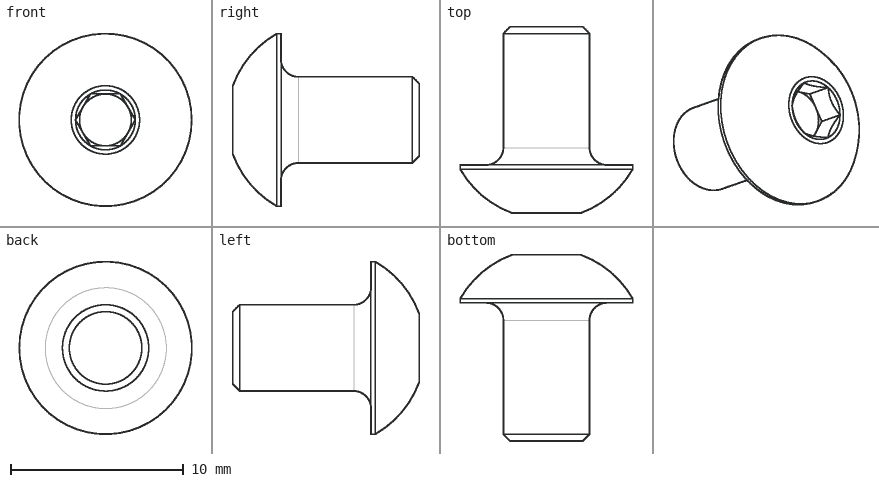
import cadquery as cq
import math

total_length = 10.8
head_height = 2.8
shank_length = total_length - head_height
head_diameter = 10.0
shank_diameter = head_diameter / 2
rim_height = 0.25
crown_flat_diameter = 3.96
neck_radius = 1.0
tip_chamfer = 0.4

socket_flats = 3.0
socket_depth = 1.76
lead_in_angle = 45.0
socket_floor_angle = 30.0

head_radius = head_diameter / 2
shank_radius = shank_diameter / 2
crown_flat_radius = crown_flat_diameter / 2
socket_inner_radius = socket_flats / 2
socket_corner_radius = socket_flats / math.sqrt(3)


def dome_midpoint():
    """Point halfway along the spherical crown, whose centre lies on the screw axis."""
    rim_y = rim_height
    flat_y = head_height
    centre_y = (flat_y**2 + crown_flat_radius**2 - rim_y**2 - head_radius**2) / (2 * (flat_y - rim_y))
    sphere_radius = math.hypot(head_radius, rim_y - centre_y)
    rim_angle = math.atan2(rim_y - centre_y, head_radius)
    flat_angle = math.atan2(flat_y - centre_y, crown_flat_radius)
    middle_angle = (rim_angle + flat_angle) / 2
    return (
        sphere_radius * math.cos(middle_angle),
        -(centre_y + sphere_radius * math.sin(middle_angle)),
    )


def revolve_about_y(profile):
    return profile.close().revolve(360, (0, 0, 0), (0, 1, 0))


def screw_body():
    """Head, concave neck and chamfered shank as one turned solid."""
    neck_offset = neck_radius * (1 - math.sqrt(0.5))
    profile = (
        cq.Workplane("XY")
        .moveTo(0, -head_height)
        .lineTo(crown_flat_radius, -head_height)
        .threePointArc(dome_midpoint(), (head_radius, -rim_height))
        .lineTo(head_radius, 0)
        .lineTo(shank_radius + neck_radius, 0)
        .threePointArc((shank_radius + neck_offset, neck_offset), (shank_radius, neck_radius))
        .lineTo(shank_radius, shank_length - tip_chamfer)
        .lineTo(shank_radius - tip_chamfer, shank_length)
        .lineTo(0, shank_length)
    )
    return revolve_about_y(profile)


def socket_cutter():
    """Hexagonal recess with corners along X and a conical floor."""
    hexagon = (
        cq.Workplane("XZ", origin=(0, -head_height, 0))
        .polygon(6, 2 * socket_corner_radius)
        .extrude(-socket_depth)
    )
    floor_y = socket_depth - head_height
    floor_rise = socket_inner_radius * math.tan(math.radians(socket_floor_angle))
    floor_cone = (
        cq.Workplane("XY")
        .moveTo(0, floor_y)
        .lineTo(socket_inner_radius, floor_y)
        .lineTo(0, floor_y + floor_rise)
    )
    return hexagon.union(revolve_about_y(floor_cone))


def lead_in_cutter():
    """Shallow cone that breaks the socket edge, as wide as the hexagon corners."""
    lead_in_depth = socket_corner_radius * math.tan(math.radians(lead_in_angle))
    cone = (
        cq.Workplane("XY")
        .moveTo(0, -head_height)
        .lineTo(socket_corner_radius, -head_height)
        .lineTo(0, lead_in_depth - head_height)
    )
    return revolve_about_y(cone)


result = screw_body().cut(socket_cutter()).cut(lead_in_cutter())